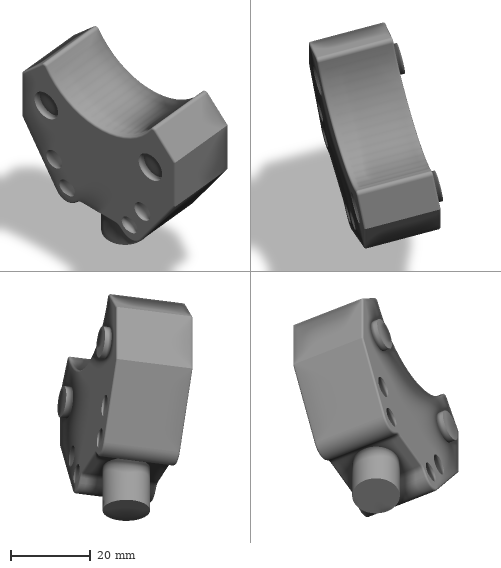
import cadquery as cq
import math

thickness = 20.0
half_width = 26.0
rim_radius = 0.5

saddle_radius = 20.8
saddle_bottom = 28.4
body_top = 38.73
horn_radius = 1.0
shoulder_angle = 45.0

lobe_radius = 4.0
lobe_x = 11.0
lobe_bottom = -2.7
flank_angle = 57.0
notch_angle = 42.0
notch_radius = 2.0

shaft_diameter = 12.0
shaft_length = 11.8
shaft_embed = 1.0

pin_diameter = 8.0
pin_x = 17.7
pin_z = 25.5
pin_height = 1.8
socket_depth = 2.0

hole_diameter = 5.4
hole_x = 15.0
hole_z = 9.2
slot_length = 5.3
slot_height = 4.5
slot_x = 10.6
slot_z = 2.2

back_y = thickness / 2
front_y = -back_y


def polar(center, radius, angle):
    """Point at an angle in degrees, counter-clockwise from +X."""
    turn = math.radians(angle)
    return center[0] + radius * math.cos(turn), center[1] + radius * math.sin(turn)


def slope(angle):
    """Rise over run of a line at an angle in degrees."""
    return math.tan(math.radians(angle))


def half_profile():
    """Right half of the body outline, closed along the Z axis."""
    lobe_center = (lobe_x, lobe_bottom + lobe_radius)
    lobe_start = polar(lobe_center, lobe_radius, 270 - notch_angle)
    lobe_low = polar(lobe_center, lobe_radius, 270)
    lobe_end = polar(lobe_center, lobe_radius, 270 + flank_angle)
    side_low_z = lobe_end[1] + (half_width - lobe_end[0]) * slope(flank_angle)

    notch_corner_x = lobe_start[0] + lobe_start[1] / slope(notch_angle)
    notch_x = notch_corner_x - notch_radius * slope(notch_angle / 2)
    notch_center = (notch_x, -notch_radius)
    notch_start = polar(notch_center, notch_radius, 90)
    notch_middle = polar(notch_center, notch_radius, 90 - notch_angle / 2)
    notch_end = polar(notch_center, notch_radius, 90 - notch_angle)

    saddle_center = (0, saddle_bottom + saddle_radius)
    horn_z = body_top - horn_radius
    saddle_drop = saddle_center[1] - horn_z
    horn_x = math.sqrt((saddle_radius + horn_radius) ** 2 - saddle_drop**2)
    horn_center = (horn_x, horn_z)
    saddle_direction = math.degrees(math.atan2(saddle_drop, -horn_x))
    horn_start = polar(horn_center, horn_radius, 90 - shoulder_angle)
    horn_tip = polar(horn_center, horn_radius, 90)
    horn_end = polar(horn_center, horn_radius, saddle_direction)
    side_high_z = horn_start[1] - (half_width - horn_start[0]) * slope(shoulder_angle)

    horn_angle = saddle_direction - 180
    saddle_middle = polar(saddle_center, saddle_radius, (horn_angle - 90) / 2)

    return (
        cq.Workplane("XZ")
        .moveTo(0, 0)
        .lineTo(*notch_start)
        .threePointArc(notch_middle, notch_end)
        .lineTo(*lobe_start)
        .threePointArc(lobe_low, lobe_end)
        .lineTo(half_width, side_low_z)
        .lineTo(half_width, side_high_z)
        .lineTo(*horn_start)
        .threePointArc(horn_tip, horn_end)
        .threePointArc(saddle_middle, (0, saddle_bottom))
    )


def make_body():
    profile = half_profile().mirrorY()
    body = profile.extrude(thickness / 2, both=True)
    return body.faces("<Y or >Y").edges().fillet(rim_radius)


def make_shaft():
    """Shaft from inside the body down to its free end."""
    return (
        cq.Workplane("XY", origin=(0, 0, -shaft_length))
        .circle(shaft_diameter / 2)
        .extrude(shaft_length + shaft_embed)
    )


def disc_pair(x, z, diameter, start_y, length):
    """Two cylinders mirrored about X = 0, running from start_y toward +Y."""
    return (
        cq.Workplane("XZ", origin=(0, start_y, 0))
        .pushPoints([(-x, z), (x, z)])
        .circle(diameter / 2)
        .extrude(-length)
    )


def slot_pair():
    """Two slots, long along X, through the full thickness."""
    return (
        cq.Workplane("XZ", origin=(0, front_y, 0))
        .pushPoints([(-slot_x, slot_z), (slot_x, slot_z)])
        .slot2D(slot_length, slot_height)
        .extrude(-thickness)
    )


result = (
    make_body()
    .union(make_shaft())
    .union(disc_pair(pin_x, pin_z, pin_diameter, back_y, pin_height))
    .cut(disc_pair(pin_x, pin_z, pin_diameter, front_y, socket_depth))
    .cut(disc_pair(hole_x, hole_z, hole_diameter, front_y, thickness))
    .cut(slot_pair())
)